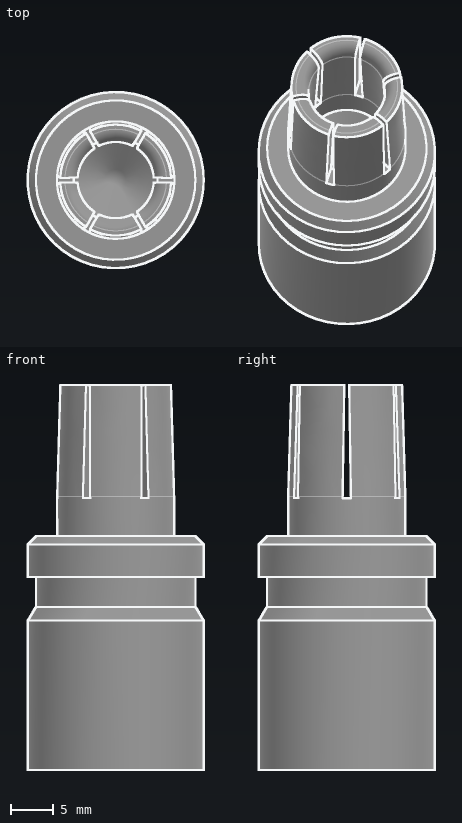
import cadquery as cq
import math

total_height = 45.8
body_radius = 20.95 / 2

body_edge_z = 17.75
groove_bottom_z = 19.4
groove_top_z = 22.95
collar_top_z = 27.85
collar_chamfer = 1.0
groove_radius = 19.0 / 2

neck_radius = 13.95 / 2
finger_base_z = 32.5
tip_outer_radius = 6.6
bore_radius = 10.0 / 2
throat_radius = 4.55
mouth_radius = 6.05
mouth_rounding = mouth_radius - throat_radius
throat_z = total_height - mouth_rounding

bore_bottom_z = collar_top_z
drill_angle = 118.0
drill_tip_z = bore_bottom_z - bore_radius / math.tan(math.radians(drill_angle / 2))

slot_count = 6
slot_floor_z = 32.35
slot_floor_width = 0.95
slot_top_width = 0.55


def make_turned_body():
    """Revolve the outer shape and the bore as one profile (radius, height)."""
    arc_offset = mouth_rounding * math.sqrt(0.5)
    mouth_arc_middle = (mouth_radius - arc_offset, throat_z + arc_offset)
    return (
        cq.Workplane("XZ")
        .moveTo(0, 0)
        .lineTo(body_radius, 0)
        .lineTo(body_radius, body_edge_z)
        .lineTo(groove_radius, groove_bottom_z)
        .lineTo(groove_radius, groove_top_z)
        .lineTo(body_radius, groove_top_z)
        .lineTo(body_radius, collar_top_z - collar_chamfer)
        .lineTo(body_radius - collar_chamfer, collar_top_z)
        .lineTo(neck_radius, collar_top_z)
        .lineTo(neck_radius, finger_base_z)
        .lineTo(tip_outer_radius, total_height)
        .lineTo(mouth_radius, total_height)
        .threePointArc(mouth_arc_middle, (throat_radius, throat_z))
        .lineTo(bore_radius, slot_floor_z)
        .lineTo(bore_radius, bore_bottom_z)
        .lineTo(0, drill_tip_z)
        .close()
        .revolve(360, (0, 0, 0), (0, 1, 0))
    )


def make_slot(angle):
    """A tapered cutter running outwards from the axis at the given angle."""
    half_floor = slot_floor_width / 2
    half_top = slot_top_width / 2
    return (
        cq.Workplane("YZ")
        .polyline([
            (-half_floor, slot_floor_z),
            (half_floor, slot_floor_z),
            (half_top, total_height),
            (-half_top, total_height),
        ])
        .close()
        .extrude(body_radius)
        .rotate((0, 0, 0), (0, 0, 1), angle)
    )


result = make_turned_body()
for slot_index in range(slot_count):
    result = result.cut(make_slot(slot_index * 360 / slot_count))